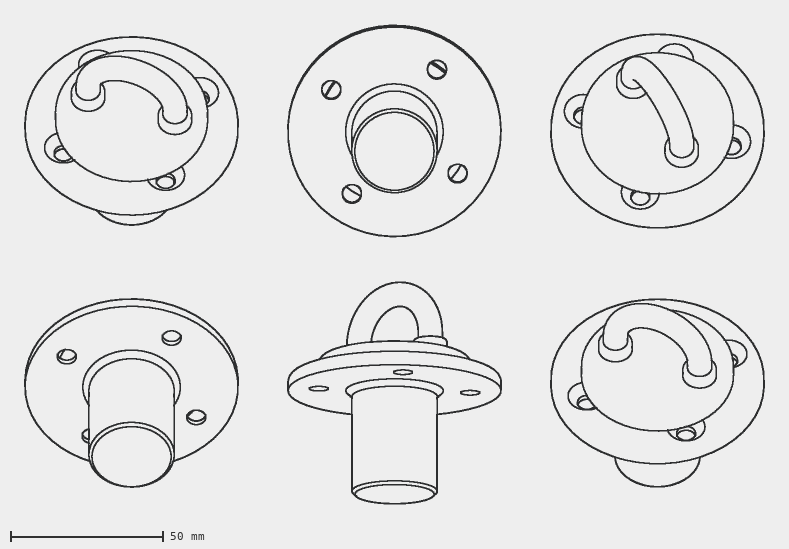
import cadquery as cq


flange_diameter = 69.95
flange_thickness = 5.0
rim_fillet = 2.0

disc_diameter = 49.95
disc_thickness = 6.0

wire_diameter = 8.0
hoop_radius = 15.0
collar_diameter = 11.0
collar_height = 4.0
collar_fillet = 1.0
leg_height = 6.4

stem_diameter = 28.0
stem_length = 35.0
stem_chamfer = 1.0
neck_size = 2.0

screw_count = 4
first_screw_angle = 45.0
screw_hole_diameter = 6.2
countersink_diameter = 12.4
countersink_angle = 90.0
screw_circle_radius = disc_diameter / 2

disc_top = flange_thickness + disc_thickness


def make_flange():
    """Rounded flange with countersunk holes on the diagonals."""
    flange = cq.Workplane("XY").circle(flange_diameter / 2).extrude(flange_thickness)
    return (
        flange.faces(">Z")
        .edges()
        .fillet(rim_fillet)
        .faces(">Z")
        .workplane(origin=(0, 0, flange_thickness))
        .polarArray(screw_circle_radius, first_screw_angle, 360, screw_count)
        .cskHole(screw_hole_diameter, countersink_diameter, countersink_angle)
    )


def make_disc():
    """Raised disc, which partly covers the screw holes."""
    disc = cq.Workplane("XY").workplane(offset=flange_thickness).circle(disc_diameter / 2)
    return disc.extrude(disc_thickness).faces(">Z").edges().fillet(rim_fillet)


def make_stem():
    """Stem with a chamfered end and a conical neck."""
    stem_radius = stem_diameter / 2
    return (
        cq.Workplane("XZ")
        .moveTo(0, 0)
        .lineTo(stem_radius + neck_size, 0)
        .lineTo(stem_radius, -neck_size)
        .lineTo(stem_radius, -stem_length + stem_chamfer)
        .lineTo(stem_radius - stem_chamfer, -stem_length)
        .lineTo(0, -stem_length)
        .close()
        .revolve(360, (0, 0, 0), (0, 1, 0))
    )


def make_hoop():
    """Half-ring of round wire on two straight legs."""
    arch_base = disc_top + leg_height
    path = (
        cq.Workplane("XZ")
        .moveTo(-hoop_radius, disc_top)
        .lineTo(-hoop_radius, arch_base)
        .threePointArc((0, arch_base + hoop_radius), (hoop_radius, arch_base))
        .lineTo(hoop_radius, disc_top)
    )
    wire_start = cq.Workplane("XY", origin=(-hoop_radius, 0, disc_top))
    return wire_start.circle(wire_diameter / 2).sweep(path)


def make_collar(x):
    """Rounded collar around the foot of a leg."""
    collar = cq.Workplane("XY", origin=(x, 0, disc_top)).circle(collar_diameter / 2)
    return collar.extrude(collar_height).faces(">Z").edges().fillet(collar_fillet)


result = make_flange().union(make_disc()).union(make_stem()).union(make_hoop())
for leg_x in (-hoop_radius, hoop_radius):
    result = result.union(make_collar(leg_x))